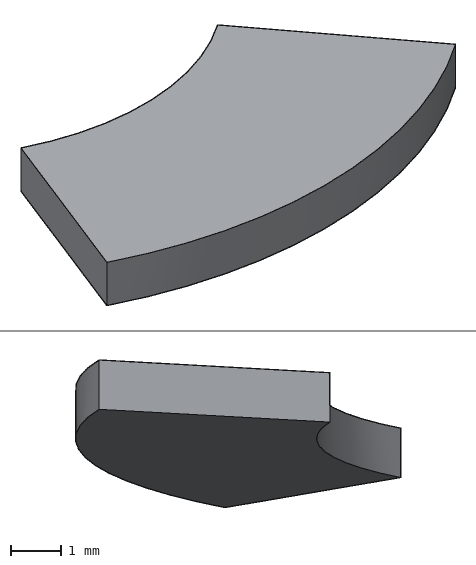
import cadquery as cq
import math

outer_radius = 11.0
inner_radius = 6.2
thickness = 1.0
sector_angle = 60.0


def ring_point(radius, angle):
    """Point on a circle about the ring centre, with the angle in degrees."""
    radians = math.radians(angle)
    return (radius * math.cos(radians), radius * math.sin(radians))


half_angle = sector_angle / 2

result = (
    cq.Workplane("XY")
    .moveTo(*ring_point(inner_radius, -half_angle))
    .lineTo(*ring_point(outer_radius, -half_angle))
    .threePointArc((outer_radius, 0), ring_point(outer_radius, half_angle))
    .lineTo(*ring_point(inner_radius, half_angle))
    .threePointArc((inner_radius, 0), ring_point(inner_radius, -half_angle))
    .close()
    .extrude(thickness)
)